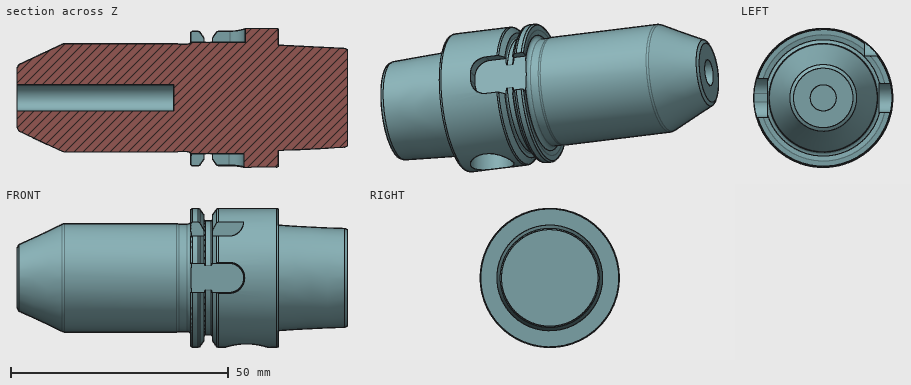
import cadquery as cq

length = 76.0
body_radius = 25.0 / 2
neck_radius = 24.8 / 2
collar_radius = 32.0 / 2

nose_face_radius = 6.85
nose_edge_radius = 7.7
nose_edge_x = 0.45
cone_end_x = 10.4
cone_blend_length = 0.5
cone_blend_rise = 0.15

body_end_x = 36.7
neck_start_x = 37.25
flange_face_x = 39.9
neck_fillet = 1.0

flange_dish_radius = 14.5
flange_dish_depth = 0.2

edge_break_length = 0.45
flange_edge_height = 0.3
rim_edge_height = 0.15
flange_rim_end_x = 41.6
groove_start_x = 43.0
groove_end_x = 44.9
groove_radius = 13.15
groove_fillet = 0.3
flank_root_radius = 14.45
flank_length = 1.0
collar_rim_start_x = 46.3

collar_end_x = 60.1
shank_start_radius = 12.15
shank_end_radius = 11.4
shank_chamfer_length = 0.7
shank_chamfer_height = 0.3

cutter_radius = 3.5
slot_floor = 12.85
front_slot_width = 6.7
front_slot_end_x = 52.1
front_slot_chamfer = 0.2
rear_slot_width = 9.0
rear_slot_end_x = 52.45
notch_side = 9.5
notch_floor = 9.6
notch_end_x = 52.1

bore_diameter = 6.0
bore_depth = 36.0
side_hole_diameter = 10.0
side_hole_depth = 4.6
side_hole_x = 52.75

cut_start_x = body_end_x
cut_reach = collar_radius + 1.5


def turned_body():
    """Revolve the complete outer profile about the X axis."""
    dish_x = flange_face_x + flange_dish_depth
    fillet_x = dish_x - neck_fillet
    profile = (
        cq.Workplane("XY")
        .lineTo(0, nose_face_radius)
        .lineTo(nose_edge_x, nose_edge_radius)
        .lineTo(cone_end_x, body_radius - cone_blend_rise)
        .lineTo(cone_end_x + cone_blend_length, body_radius)
        .lineTo(body_end_x, body_radius)
        .lineTo(neck_start_x, neck_radius)
        .lineTo(fillet_x, neck_radius)
        .radiusArc((dish_x, neck_radius + neck_fillet), -neck_fillet)
        .lineTo(flange_face_x, flange_dish_radius)
        .lineTo(flange_face_x, collar_radius - flange_edge_height)
        .lineTo(flange_face_x + edge_break_length, collar_radius)
        .lineTo(flange_rim_end_x, collar_radius)
        .lineTo(groove_start_x - flank_length, collar_radius - rim_edge_height)
        .lineTo(groove_start_x, flank_root_radius)
        .lineTo(groove_start_x, groove_radius + groove_fillet)
        .radiusArc((groove_start_x + groove_fillet, groove_radius), -groove_fillet)
        .lineTo(groove_end_x - groove_fillet, groove_radius)
        .radiusArc((groove_end_x, groove_radius + groove_fillet), -groove_fillet)
        .lineTo(groove_end_x, flank_root_radius)
        .lineTo(groove_end_x + flank_length, collar_radius - rim_edge_height)
        .lineTo(collar_rim_start_x, collar_radius)
        .lineTo(collar_end_x - edge_break_length, collar_radius)
        .lineTo(collar_end_x, collar_radius - rim_edge_height)
        .lineTo(collar_end_x, shank_start_radius)
        .lineTo(length - shank_chamfer_length, shank_end_radius)
        .lineTo(length, shank_end_radius - shank_chamfer_height)
        .lineTo(length, 0)
        .close()
    )
    return profile.revolve(360, (0, 0, 0), (1, 0, 0))


def cut_front_slot(body):
    """Cut the round-ended slot on the -Y side and break its rim on the collar."""
    slot_length = front_slot_end_x - cut_start_x
    slot = (
        cq.Workplane("XZ", origin=(front_slot_end_x - slot_length / 2, -slot_floor, 0))
        .slot2D(slot_length, front_slot_width)
        .extrude(cut_reach - slot_floor)
    )
    rim_edges = cq.selectors.BoxSelector(
        (collar_rim_start_x, -cut_reach, -front_slot_width),
        (front_slot_end_x + 0.75, -(collar_radius - 0.75), front_slot_width),
    )
    return body.cut(slot).edges(rim_edges).chamfer(front_slot_chamfer)


def rear_slot():
    """Wider slot on the +Y side, with two rounded corners at its closed end."""
    slot = cq.Workplane("XY").box(
        rear_slot_end_x - cut_start_x,
        cut_reach - slot_floor,
        rear_slot_width,
        centered=(False, False, True),
    )
    slot = slot.edges("|Y and >X").fillet(cutter_radius)
    return slot.translate((cut_start_x, slot_floor, 0))


def corner_notch():
    """Square-cornered notch on the -Y +Z flank, with a rounded run-out along X."""
    notch = cq.Workplane("XY").box(
        notch_end_x - cut_start_x,
        cut_reach - notch_side,
        cut_reach - notch_floor,
        centered=False,
    )
    notch = notch.edges(">X and <Z").fillet(cutter_radius)
    return notch.translate((cut_start_x, -cut_reach, notch_floor))


def nose_bore():
    return cq.Workplane("YZ").circle(bore_diameter / 2).extrude(bore_depth)


def side_hole():
    """Blind round pocket entering the collar from -Z."""
    floor = collar_radius - side_hole_depth
    return (
        cq.Workplane("XY", origin=(side_hole_x, 0, -cut_reach))
        .circle(side_hole_diameter / 2)
        .extrude(cut_reach - floor)
    )


result = (
    cut_front_slot(turned_body())
    .cut(rear_slot())
    .cut(corner_notch())
    .cut(nose_bore())
    .cut(side_hole())
)